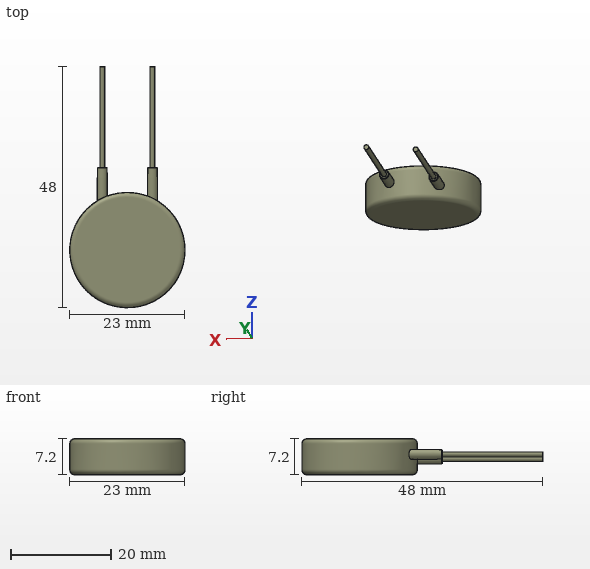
import cadquery as cq

body_diameter = 23.0
body_height = 7.2
body_edge_radius = 1.0

overall_length = 48.0
wire_end_y = overall_length - body_diameter / 2

lead_spacing = 10.0
lead_height_offset = 0.5
wire_diameter = 1.0
wire_exposed_length = 20.0

sleeve_diameter = 2.0
sleeve_tip_diameter = 1.9
sleeve_tip_chamfer = 0.15
sleeve_taper_length = 2.1
sleeve_end_y = wire_end_y - wire_exposed_length
taper_start_y = sleeve_end_y - sleeve_taper_length

lead_root_y = body_diameter / 4


def make_body():
    """Disc with rounded top and bottom rims."""
    disc = cq.Workplane("XY").cylinder(body_height, body_diameter / 2)
    return disc.edges("%CIRCLE").fillet(body_edge_radius)


def make_lead(x, z):
    """Sleeve and wire, revolved about the lead's own axis."""
    profile = [
        (0, lead_root_y),
        (sleeve_diameter / 2, lead_root_y),
        (sleeve_diameter / 2, taper_start_y),
        (sleeve_tip_diameter / 2, sleeve_end_y - sleeve_tip_chamfer),
        (sleeve_tip_diameter / 2 - sleeve_tip_chamfer, sleeve_end_y),
        (wire_diameter / 2, sleeve_end_y),
        (wire_diameter / 2, wire_end_y),
        (0, wire_end_y),
    ]
    lead = cq.Workplane("XY").polyline(profile).close().revolve(360, (0, 0), (0, 1))
    return lead.translate((x, 0, z))


result = make_body()
for side in (-1, 1):
    result = result.union(make_lead(side * lead_spacing / 2, side * lead_height_offset))